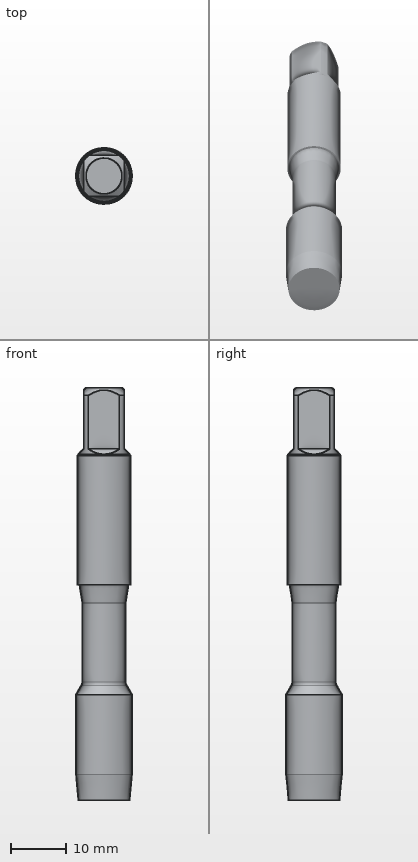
import cadquery as cq
import math

overall_length = 74.7
lead_length = 4.75
thread_length = 19.1
shank_bottom = 39.0
drive_length = 12.1
flat_length = 11.1

tip_diameter = 9.29
thread_diameter = 10.18

neck_diameter = 7.88
neck_cone_angle = 30
relief_top_diameter = 8.9
relief_angle = 9
neck_blend_radius = 1.3

shank_diameter = 9.68
drive_diameter = 9.29
drive_square = 7.4
drive_end_diameter = 6.5


def rise_of_cone(small_diameter, large_diameter, half_angle):
    """Axial length of a cone between two diameters."""
    return (large_diameter - small_diameter) / 2 / math.tan(math.radians(half_angle))


def blend_ends(apex_z, half_angle, cone_direction):
    """Cylinder end, arc middle and cone end (r, z) of the arc that joins the neck to a cone.

    apex_z is where the cone would meet the neck; cone_direction is +1 if the cone lies above.
    """
    turn = math.radians(half_angle)
    start_z = apex_z - cone_direction * neck_blend_radius * math.tan(turn / 2)

    def arc_point(angle):
        radius = neck_diameter / 2 + neck_blend_radius * (1 - math.cos(angle))
        return radius, start_z + cone_direction * neck_blend_radius * math.sin(angle)

    return arc_point(0), arc_point(turn / 2), arc_point(turn)


def make_cutting_section():
    """Thread envelope with its tapered lead at the tip."""
    return (
        cq.Workplane("XZ")
        .moveTo(0, 0)
        .lineTo(tip_diameter / 2, 0)
        .lineTo(thread_diameter / 2, lead_length)
        .lineTo(thread_diameter / 2, thread_length)
        .lineTo(0, thread_length)
        .close()
        .revolve(360, (0, 0, 0), (0, 1, 0))
    )


def make_turned_shank():
    """Neck, shank and drive end before the square is cut."""
    lower_apex = thread_length + rise_of_cone(neck_diameter, thread_diameter, neck_cone_angle)
    lower_neck, lower_middle, lower_cone = blend_ends(lower_apex, neck_cone_angle, -1)
    upper_apex = shank_bottom - rise_of_cone(neck_diameter, relief_top_diameter, relief_angle)
    upper_neck, upper_middle, upper_cone = blend_ends(upper_apex, relief_angle, 1)

    drive_bottom = overall_length - drive_length
    shank_chamfer = (shank_diameter - drive_diameter) / 2
    end_chamfer = (drive_diameter - drive_end_diameter) / 2

    return (
        cq.Workplane("XZ")
        .moveTo(0, thread_length)
        .lineTo(thread_diameter / 2, thread_length)
        .lineTo(*lower_cone)
        .threePointArc(lower_middle, lower_neck)
        .lineTo(*upper_neck)
        .threePointArc(upper_middle, upper_cone)
        .lineTo(relief_top_diameter / 2, shank_bottom)
        .lineTo(shank_diameter / 2, shank_bottom)
        .lineTo(shank_diameter / 2, drive_bottom - shank_chamfer)
        .lineTo(drive_diameter / 2, drive_bottom)
        .lineTo(drive_diameter / 2, overall_length - end_chamfer)
        .lineTo(drive_end_diameter / 2, overall_length)
        .lineTo(0, overall_length)
        .close()
        .revolve(360, (0, 0, 0), (0, 1, 0))
    )


def make_flat_cutter():
    """Cutter for the +X flat of the square, ending in a 45 degree run-out."""
    flat_x = drive_square / 2
    flat_bottom = overall_length - flat_length
    outer_x = shank_diameter / 2
    return (
        cq.Workplane("XZ")
        .moveTo(flat_x, overall_length)
        .lineTo(flat_x, flat_bottom)
        .lineTo(outer_x, flat_bottom - (outer_x - flat_x))
        .lineTo(outer_x, overall_length)
        .close()
        .extrude(shank_diameter / 2, both=True)
    )


def make_shank():
    """Turned shank with four drive flats."""
    body = make_turned_shank()
    flat_cutter = make_flat_cutter()
    for angle in (0, 90, 180, 270):
        body = body.cut(flat_cutter.rotate((0, 0, 0), (0, 0, 1), angle))
    return body


cutting_section = make_cutting_section()
shank = make_shank()

result = cq.Compound.makeCompound([cutting_section.val(), shank.val()])